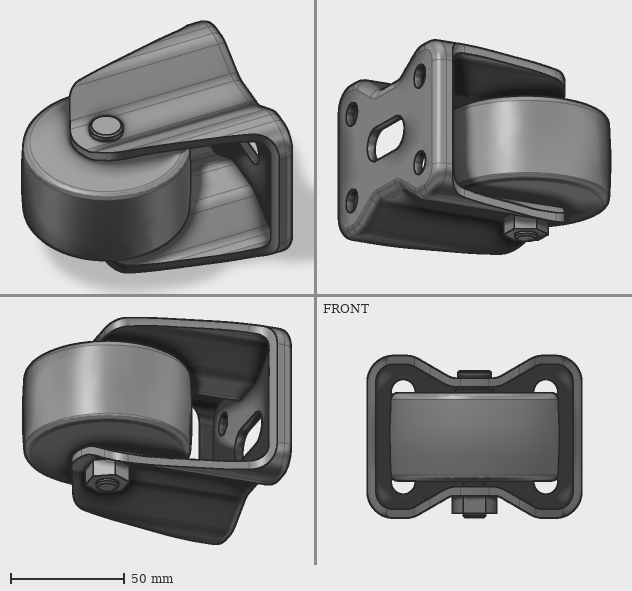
import cadquery as cq
import math


bracket_width = 95.0
bracket_height = 72.0
sheet = 3.9
back_y = 70.5
back_edge_radius = 4.7
corner_radius = 12.0
crest_x = 30.6
crest_radius = 12.0
waist_radius = 8.0
waist_depth = 10.0
waist_slope = math.radians(30)

tip_radius = 15.9
tip_slope = math.radians(23.2)
flank_x = 41.7
shoulder_y = 63.7
elbow_x = 25.4
elbow_radius = 12.0
shoulder_radius = 15.0

bolt_hole_x = 31.5
bolt_hole_z = 20.1
bolt_hole_diameter = 10.6
slot_length = 34.1
slot_width = 15.5

wheel_radius = 37.5
wheel_rim_radius = 36.7
wheel_width = 39.1
wheel_edge_radius = 3.0

axle_radius = 5.0
axle_end_z = -35.7
axle_end_chamfer = 0.9
washer_radius = 8.5
washer_thickness = 1.5
head_radius = 7.5
head_height = 3.2
head_chamfer = 0.9
nut_corner_diameter = 19.9
nut_height = 7.9

half_width = bracket_width / 2
half_height = bracket_height / 2
half_wheel = wheel_width / 2
arm_outer_z = half_height - waist_depth


def on_arc(center_x, center_z, radius, angle):
    """Point on a circle, with the angle measured from +Z toward +X."""
    return (center_x + radius * math.sin(angle), center_z + radius * math.cos(angle))


def bracket_section():
    """Waisted outline of the bracket in the XZ plane, drawn as one quarter and mirrored."""
    crest_z = half_height - crest_radius
    waist_z = arm_outer_z + waist_radius
    crest_mid = on_arc(crest_x, crest_z, crest_radius, -waist_slope / 2)
    crest_end = on_arc(crest_x, crest_z, crest_radius, -waist_slope)
    slope_drop = waist_depth - (crest_radius + waist_radius) * (1 - math.cos(waist_slope))
    slope_end_x = crest_end[0] - slope_drop / math.tan(waist_slope)
    waist_x = slope_end_x - waist_radius * math.sin(waist_slope)
    slope_end = on_arc(waist_x, waist_z, waist_radius, math.pi - waist_slope)
    waist_mid = on_arc(waist_x, waist_z, waist_radius, math.pi - waist_slope / 2)
    corner_x = half_width - corner_radius
    corner_z = half_height - corner_radius
    corner_mid = on_arc(corner_x, corner_z, corner_radius, math.pi / 4)
    quarter = (
        cq.Workplane("XZ", origin=(0, back_y, 0))
        .moveTo(half_width, 0)
        .lineTo(half_width, corner_z)
        .threePointArc(corner_mid, (corner_x, half_height))
        .lineTo(crest_x, half_height)
        .threePointArc(crest_mid, crest_end)
        .lineTo(*slope_end)
        .threePointArc(waist_mid, (waist_x, arm_outer_z))
        .lineTo(0, arm_outer_z)
    )
    return quarter.mirrorX().mirrorY()


def arm_outline():
    """Tapered outline that trims both arms, kept over the full height of the bracket."""
    tip_y = -tip_radius / math.cos(tip_slope)
    elbow_y = tip_y + elbow_x * math.tan(tip_slope)
    half_outline = [
        (elbow_x, elbow_y),
        (flank_x, shoulder_y),
        (bracket_width, shoulder_y),
        (bracket_width, back_y),
    ]
    mirrored = [(-x, y) for x, y in reversed(half_outline)]
    outline = (
        cq.Workplane("XY")
        .polyline([(0, tip_y)] + half_outline + mirrored)
        .close()
        .extrude(half_height, both=True)
    )
    for corner, radius in (
        ((0, tip_y), tip_radius),
        ((elbow_x, elbow_y), elbow_radius),
        ((-elbow_x, elbow_y), elbow_radius),
        ((flank_x, shoulder_y), shoulder_radius),
        ((-flank_x, shoulder_y), shoulder_radius),
    ):
        outline = outline.edges(cq.NearestToPointSelector((*corner, 0))).fillet(radius)
    return outline


def bracket():
    """Waisted sheet shell closed by the base plate, pierced and trimmed to the arm outline."""
    length = back_y + 2 * tip_radius
    shell = bracket_section().extrude(length).faces(">Y").edges().fillet(back_edge_radius)
    cavity = bracket_section().offset2D(-sheet).extrude(length).translate((0, -sheet, 0))
    bolt_holes = (
        cq.Workplane("XZ", origin=(0, back_y, 0))
        .rect(2 * bolt_hole_x, 2 * bolt_hole_z, forConstruction=True)
        .vertices()
        .circle(bolt_hole_diameter / 2)
        .extrude(sheet)
    )
    slot = (
        cq.Workplane("XZ", origin=(0, back_y, 0))
        .slot2D(slot_length, slot_width)
        .extrude(sheet)
    )
    return shell.cut(cavity).cut(bolt_holes).cut(slot).intersect(arm_outline())


def wheel():
    """Disc with a crowned tread and rounded edges."""
    return (
        cq.Workplane("XZ")
        .moveTo(0, -half_wheel)
        .lineTo(wheel_rim_radius, -half_wheel)
        .threePointArc((wheel_radius, 0), (wheel_rim_radius, half_wheel))
        .lineTo(0, half_wheel)
        .close()
        .revolve(360, (0, 0, 0), (0, 1, 0))
        .edges(">Z or <Z")
        .fillet(wheel_edge_radius)
    )


def cylinder(radius, bottom, height):
    """Cylinder around the wheel axis, standing on the given Z."""
    return cq.Workplane("XY", origin=(0, 0, bottom)).circle(radius).extrude(height)


def axle():
    """Bolt with a round head on top, a spacer washer above the wheel and a hexagon nut below."""
    shank = cylinder(axle_radius, axle_end_z, arm_outer_z - axle_end_z).faces("<Z").chamfer(axle_end_chamfer)
    head = cylinder(head_radius, arm_outer_z, head_height).faces(">Z").chamfer(head_chamfer)
    washer = cylinder(washer_radius, half_wheel, washer_thickness)
    nut = (
        cq.Workplane("XY", origin=(0, 0, -arm_outer_z))
        .polygon(6, nut_corner_diameter)
        .extrude(-nut_height)
    )
    return shank.union(head).union(washer).union(nut)


result = bracket().union(axle()).union(wheel())